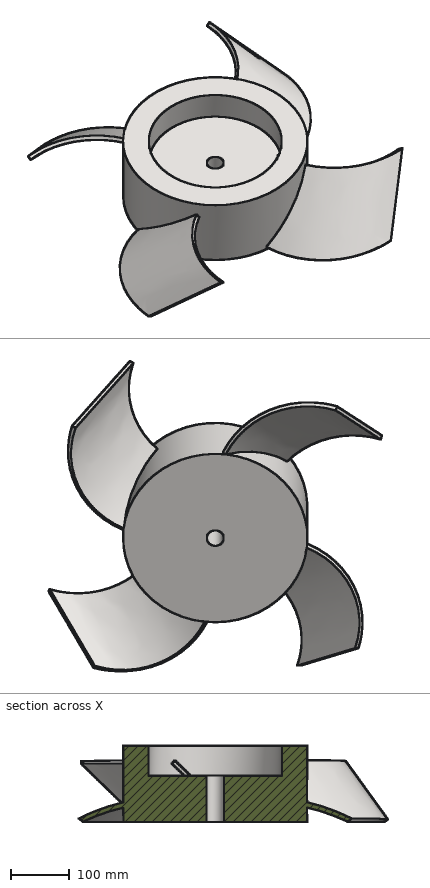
import cadquery as cq
import math

HUB_DIAMETER = 315.0
HUB_HEIGHT = 130.0
HUB_SEAM_ANGLE = 60.0
POCKET_DIAMETER = 227.0
POCKET_DEPTH = 51.0
BORE_DIAMETER = 29.0

BLADE_COUNT = 4
BLADE_THICKNESS = 7.5
ARC_RADIUS = 154.0
ARC_CENTER_X = -124.0
ROOT_ANGLE = 7.0
TIP_ANGLE = 91.0
BLADE_SLANT = cq.Vector(-102.5, -72.0, 99.5)

OVERALL_SPAN = 589.5
THICKNESS_REACH = BLADE_THICKNESS * math.cos(math.atan(BLADE_SLANT.y / BLADE_SLANT.z))
ARC_CENTER = cq.Vector(ARC_CENTER_X, OVERALL_SPAN / 2 - ARC_RADIUS - THICKNESS_REACH, 0)

UNTRIMMED_BLADE = 3


def arc_point(angle):
    """Point of the lower blade arc at an angle in degrees from +X."""
    turn = math.radians(angle)
    return ARC_CENTER + cq.Vector(math.cos(turn), math.sin(turn)) * ARC_RADIUS


def make_blade():
    lower_edge = cq.Edge.makeThreePointArc(
        arc_point(ROOT_ANGLE),
        arc_point((ROOT_ANGLE + TIP_ANGLE) / 2),
        arc_point(TIP_ANGLE),
    )
    upper_edge = lower_edge.translate(BLADE_SLANT)
    inner_surface = cq.Face.makeRuledSurface(lower_edge, upper_edge)
    outward_sign = math.copysign(1, inner_surface.normalAt().z)
    return cq.Workplane(inner_surface.thicken(outward_sign * BLADE_THICKNESS))


def place_blade(index):
    angle = index * 360 / BLADE_COUNT
    return make_blade().rotate((0, 0, 0), (0, 0, 1), angle)


def make_hub():
    """Hub cylinder, turned so that its seam line falls between two blade roots."""
    hub = cq.Workplane("XY").circle(HUB_DIAMETER / 2).extrude(HUB_HEIGHT)
    return hub.rotate((0, 0, 0), (0, 0, 1), HUB_SEAM_ANGLE)


def make_pocket():
    return (
        cq.Workplane("XY")
        .workplane(offset=HUB_HEIGHT - POCKET_DEPTH)
        .circle(POCKET_DIAMETER / 2)
        .extrude(POCKET_DEPTH)
    )


def make_bore():
    return cq.Workplane("XY").circle(BORE_DIAMETER / 2).extrude(HUB_HEIGHT)


result = make_hub()
for blade_index in range(BLADE_COUNT):
    result = result.union(place_blade(blade_index))
result = result.cut(make_pocket().cut(place_blade(UNTRIMMED_BLADE)))
result = result.cut(make_bore())